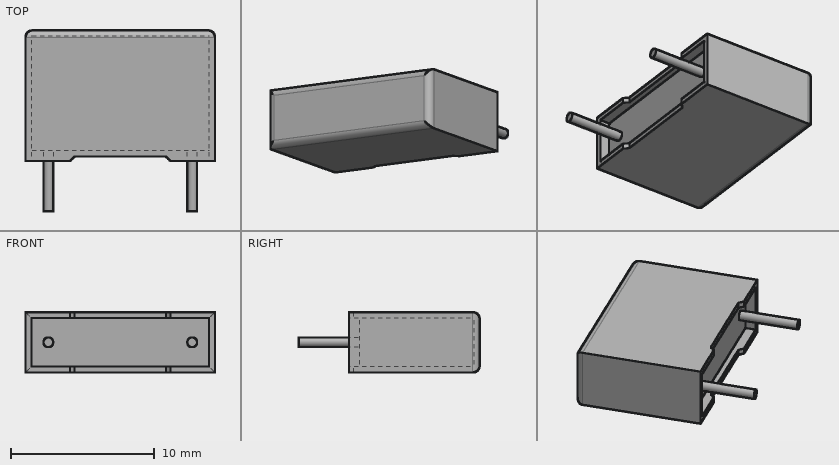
import cadquery as cq

case_width = 13.2
case_depth = 9.11
case_thickness = 4.21
wall = 0.41
back_edge_radius = 0.5

notch_mouth_width = 7.0
notch_floor_width = 6.34
notch_depth = 0.32

fill_recess = 0.75
lead_diameter = 0.69
lead_spacing = 10.0
lead_reach = 3.5

fill_width = case_width - 2 * wall
fill_thickness = case_thickness - 2 * wall
cavity_depth = case_depth - wall


def block(width, front, back, thickness):
    """A box centred on X and Z that runs from Y = front to Y = back."""
    return cq.Workplane("XY").box(
        width, back - front, thickness, centered=(True, False, True)
    ).translate((0, front, 0))


def make_notch():
    """Shallow trapezoid cut through both long rim walls."""
    return (
        cq.Workplane("XY")
        .polyline([
            (-notch_mouth_width / 2, 0),
            (-notch_floor_width / 2, notch_depth),
            (notch_floor_width / 2, notch_depth),
            (notch_mouth_width / 2, 0),
        ])
        .close()
        .extrude(case_thickness / 2, both=True)
    )


def make_case():
    """Case with a rounded back, hollowed from the rim at Y = 0."""
    shell = block(case_width, 0, case_depth, case_thickness)
    shell = shell.faces(">Y").edges().fillet(back_edge_radius)
    cavity = block(fill_width, 0, cavity_depth, fill_thickness)
    return shell.cut(cavity).cut(make_notch())


def make_fill():
    """Potting that fills the cavity up to a level below the rim."""
    return block(fill_width, fill_recess, cavity_depth, fill_thickness)


def make_lead(x):
    """Round wire that starts on the face of the fill and points along -Y."""
    return (
        cq.Workplane("XZ", origin=(x, fill_recess, 0))
        .circle(lead_diameter / 2)
        .extrude(fill_recess + lead_reach)
    )


case = make_case()
fill = make_fill()
leads = [make_lead(side * lead_spacing / 2) for side in (-1, 1)]

result = cq.Compound.makeCompound([case.val(), fill.val(), *[lead.val() for lead in leads]])